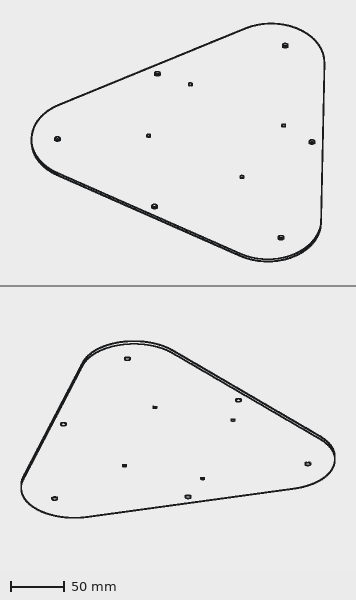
import cadquery as cq
import math

width = 300.0
thickness = 3.3
corner_radius = width / 6
corner_spacing = width - 2 * corner_radius
corner_circle_radius = corner_spacing / math.sqrt(3)

mount_hole_diameter = 5.0
corner_hole_distance = 141.0
side_hole_distance = 97.5

small_hole_diameter = 3.3
small_hole_spacing_x = 102.0
small_hole_spacing_y = 76.2
small_hole_center_y = 15.0

CORNER_ANGLES = (90, 210, 330)
SIDE_ANGLES = (30, 150, 270)


def polar_points(radius, angles):
    """Points at one distance from the centroid, at the given angles in degrees."""
    return [
        (radius * math.cos(math.radians(angle)), radius * math.sin(math.radians(angle)))
        for angle in angles
    ]


def make_plate():
    """Triangle through the corner centres, grown outward with round corners."""
    return (
        cq.Workplane("XY")
        .polyline(polar_points(corner_circle_radius, CORNER_ANGLES))
        .close()
        .offset2D(corner_radius, "arc")
        .extrude(thickness)
    )


def drill_mount_holes(plate):
    centers = polar_points(corner_hole_distance, CORNER_ANGLES)
    centers += polar_points(side_hole_distance, SIDE_ANGLES)
    return plate.faces(">Z").workplane(origin=(0, 0, 0)).pushPoints(centers).hole(mount_hole_diameter)


def drill_small_holes(plate):
    return (
        plate.faces(">Z")
        .workplane(origin=(0, small_hole_center_y, 0))
        .rarray(small_hole_spacing_x, small_hole_spacing_y, 2, 2)
        .hole(small_hole_diameter)
    )


result = drill_small_holes(drill_mount_holes(make_plate()))